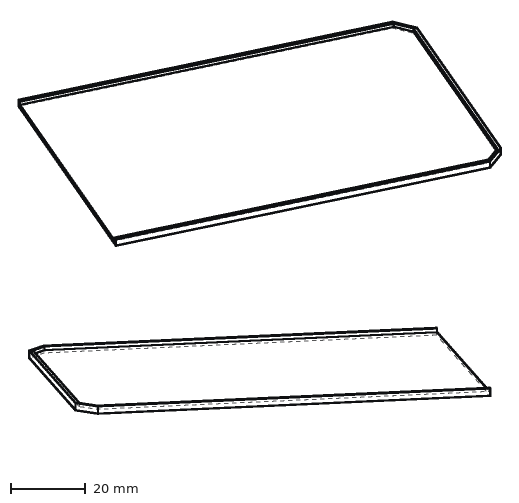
import cadquery as cq

width = 73.0
length = 112.0
height = 2.0
floor_thickness = 1.0
rim_width = 1.0
corner_cut = 5.0

recess_corner_cut = corner_cut - rim_width


def cut_corner_slab(slab_width, slab_length, thickness, corner_leg):
    """Slab with its front edge on Y = 0 and both back corners cut at 45 degrees."""
    return (
        cq.Workplane("XY")
        .box(slab_width, slab_length, thickness, centered=(True, False, False))
        .edges("|Z and >Y")
        .chamfer(corner_leg)
    )


plate = cut_corner_slab(width, length, height, corner_cut)

recess = cut_corner_slab(
    width - 2 * rim_width,
    length - rim_width,
    height - floor_thickness,
    recess_corner_cut,
).translate((0, 0, floor_thickness))

result = plate.cut(recess).translate((0, -length / 2, 0))